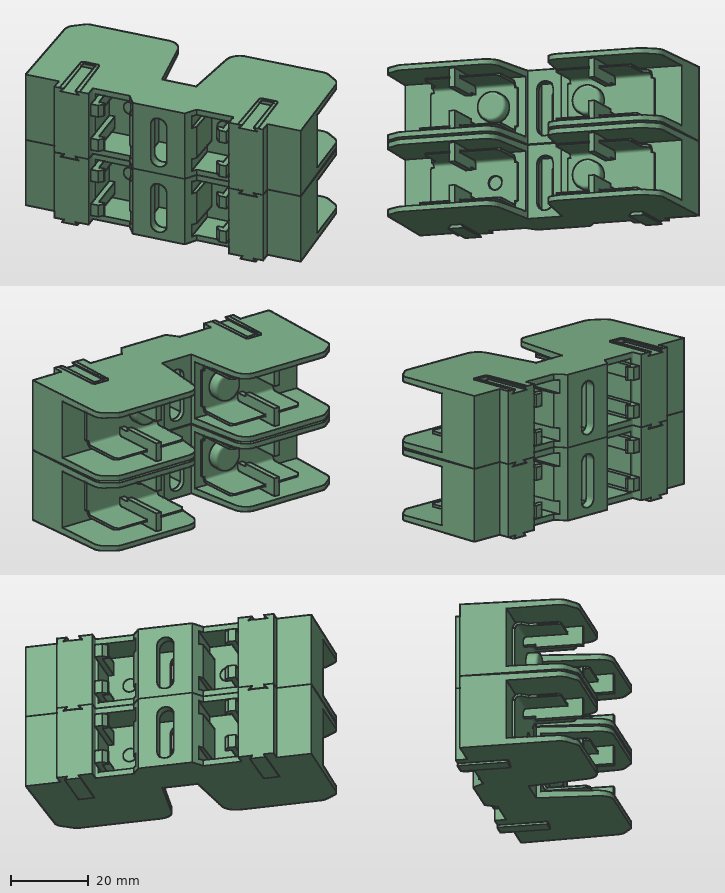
import cadquery as cq
import math


half_length = 38.3
depth = 33.3
pitch = 19.6
mid_height = pitch / 2
block_count = 2
draft = math.radians(0.5)

body_front = 3.1
foot_outer = 29.0
foot_root_radius = 0.15
foot_inner = 19.5
center_half_width = 7.2
center_root_half_width = 9.35
wing_back_half_length = 37.7
wing_corner_y = 30.0
wing_corner_x = 33.2
wing_corner_radius = 3.1
wing_inner_radius = 4.0
wing_inner_x = 7.2
notch_half_width = 4.75
notch_floor = 14.1

bay_floor = 15.2
bay_flat_end = 18.4
bay_wall = 1.9
bay_wall_back = 1.7

pocket_wall = 1.6
pocket_half_length = 18.8
pocket_ceiling = 12.6
pocket_inner_x = 8.4
front_lip = 2.7
side_wall_outer = 9.65
side_wall_height = 9.35
slot_width = 4.45
slot_length = 14.4
slot_z = 9.3
cavity_half_width = 5.05

hook_height = 3.45
hook_offset = 5.1
hook_stem = 1.5
barb_reach = 3.15
barb_back = 1.75
barb_tip = 1.15
barb_front = 2.0

dovetail_x = 24.8
tail_height = 0.85
tail_root = 0.8
tail_length = 13.2
tail_neck_half = 1.5
tail_end_half = 2.15
groove_depth = 1.0
groove_length = 13.7
groove_neck_half = 1.6
groove_end_half = 2.5
pad_length = 14.7
pad_front_half = 2.8
pad_back_half = 2.5
pad_corner = 0.45

fin_inner_x = 18.4
fin_thickness = 1.5
fin_back = 31.55
fin_notch = 6.2

clip_outer_x = 29.9
clip_inner_x = 7.65
clip_end_y = 27.5
clip_sheet = 0.7
clip_half_height = 6.8
clip_bend = 1.5
clip_corner = 0.9
tongue_half_height = 5.1
tongue_overhang = 0.8
tongue_corner = 0.45
blade_inset = 1.5
shoulder_start = 17.45
shoulder_end = 19.1
blade_start = 21.4
blade_bevel = 0.15
tip_bevel_length = 0.85
tip_bevel_depth = 0.15

screw_x = 13.0
shank_radius = 1.8
head_radius = 3.9
head_height = 3.15
head_round = 0.8
screw_places = [(-1, 0), (-1, 1), (1, 1)]

base_top = bay_floor + clip_sheet


def box(x0, x1, y0, y1, z0, z1):
    """Axis-aligned block between two corners."""
    corner = cq.Vector(x0, y0, z0)
    return cq.Workplane(cq.Solid.makeBox(x1 - x0, y1 - y0, z1 - z0, corner))


def prism_z(points, z0, z1):
    """X-Y polygon extruded from z0 to z1."""
    return cq.Workplane("XY", origin=(0, 0, z0)).polyline(points).close().extrude(z1 - z0)


def prism_x(points, x0, x1):
    """Y-Z polygon extruded from x0 to x1."""
    return cq.Workplane("YZ", origin=(x0, 0, 0)).polyline(points).close().extrude(x1 - x0)


def prism_y(points, y0, y1):
    """X-Z polygon extruded from y0 to y1."""
    profile = cq.Workplane("XZ", origin=(0, y0, 0)).polyline(points).close()
    return profile.extrude(y0 - y1)


def both_sides(shape):
    """The shape together with its mirror image across the Y-Z plane."""
    return shape.union(shape.mirror("YZ"))


def cylinder_y(radius, x, z, y0, y1):
    """Cylinder along Y."""
    return cq.Workplane("XZ", origin=(x, y0, z)).circle(radius).extrude(y0 - y1)


def corner_edges(shape, x, y):
    """Vertical edges of the shape at (x, y)."""
    reach = 0.1
    return shape.edges(cq.selectors.BoxSelector(
        (x - reach, y - reach, -depth), (x + reach, y + reach, depth)))


def housing_body():
    """Solid outline with rounded wings and lightly tapered top and bottom."""
    half = [
        (0, 0), (center_half_width, 0), (center_root_half_width, body_front),
        (foot_inner, body_front), (foot_inner, 0), (foot_outer, 0), (foot_outer, body_front),
        (half_length, body_front), (wing_back_half_length, wing_corner_y), (wing_corner_x, depth),
        (wing_inner_x, depth), (notch_half_width, notch_floor), (0, notch_floor),
    ]
    body = prism_z(half, 0, pitch)
    for x, y, radius in [
        (wing_back_half_length, wing_corner_y, wing_corner_radius),
        (wing_corner_x, depth, wing_corner_radius),
        (wing_inner_x, depth, wing_inner_radius),
        (foot_inner, body_front, foot_root_radius),
    ]:
        body = corner_edges(body, x, y).fillet(radius)
    drop = depth * math.tan(draft)
    taper = prism_x(
        [(0, 0), (depth, drop), (depth, pitch - drop), (0, pitch)], -half_length, half_length)
    return both_sides(body).intersect(taper)


def terminal_bay():
    """Space between the two plates behind the bay floor."""
    profile = [
        (bay_floor, bay_wall), (bay_flat_end, bay_wall), (depth, bay_wall_back),
        (depth, pitch - bay_wall_back), (bay_flat_end, pitch - bay_wall),
        (bay_floor, pitch - bay_wall),
    ]
    return prism_x(profile, -half_length, half_length)


def barrier_fin():
    """Notched wall across the bay, cleared for the screw head and slotted for the clip."""
    outer_x = fin_inner_x + fin_thickness
    fin = box(fin_inner_x, outer_x, bay_floor, fin_back, pocket_wall, pitch - pocket_wall)
    notch = box(fin_inner_x, outer_x, bay_floor, fin_back,
                mid_height - fin_notch / 2, mid_height + fin_notch / 2)
    head_clearance = box(fin_inner_x, outer_x, bay_floor, base_top + head_height,
                         mid_height - head_radius, mid_height + head_radius)
    return both_sides(fin.cut(notch).cut(head_clearance).cut(clip_blank()))


def front_pocket():
    """Pockets on both sides of the center block, and the hollow behind its slotted face."""
    z0 = pocket_wall
    z1 = pitch - pocket_wall
    hollow = box(-cavity_half_width, cavity_half_width, front_lip, pocket_ceiling, z0, z1)
    opening = box(pocket_inner_x, pocket_half_length, 0, pocket_ceiling, z0, z1)
    slope = body_front / (center_root_half_width - center_half_width)
    wall_front = slope * (pocket_inner_x - center_half_width)
    side_wall = prism_z(
        [(pocket_inner_x, wall_front), (center_root_half_width, body_front),
         (side_wall_outer, pocket_ceiling), (pocket_inner_x, pocket_ceiling)],
        mid_height - side_wall_height / 2, mid_height + side_wall_height / 2)
    return both_sides(opening.cut(side_wall)).union(hollow)


def mounting_slot():
    """Upright slot through the center block."""
    profile = cq.Workplane("XZ", origin=(0, 0, slot_z)).slot2D(slot_length, slot_width, 90)
    return profile.extrude(-depth)


def latch_hooks():
    """Four barbed hooks standing along the pocket end walls."""
    x = pocket_half_length
    outline = [
        (x, 0), (x - barb_front, 0), (x - barb_reach, barb_tip), (x - barb_reach, barb_back),
        (x - hook_stem, barb_back), (x - hook_stem, pocket_ceiling), (x, pocket_ceiling),
    ]
    hooks = cq.Workplane()
    for sign in (-1, 1):
        middle = mid_height + sign * hook_offset
        hooks = hooks.add(prism_z(outline, middle - hook_height / 2, middle + hook_height / 2))
    return both_sides(hooks.combine())


def dovetail_pad():
    """Level pad around the groove, standing clear of the tapered top face."""
    flank = pad_back_half - pad_corner
    outline = [
        (dovetail_x - pad_front_half, 0), (dovetail_x + pad_front_half, 0),
        (dovetail_x + pad_back_half, pad_length - pad_corner), (dovetail_x + flank, pad_length),
        (dovetail_x - flank, pad_length), (dovetail_x - pad_back_half, pad_length - pad_corner),
    ]
    return both_sides(prism_z(outline, pitch - pocket_wall, pitch))


def dovetail(neck_half, end_half, height, length, neck_z):
    """Dovetail bar that widens downwards from neck_z; its neck runs up by tail_root."""
    profile = [
        (dovetail_x - neck_half, neck_z + tail_root), (dovetail_x + neck_half, neck_z + tail_root),
        (dovetail_x + neck_half, neck_z), (dovetail_x + end_half, neck_z - height),
        (dovetail_x - end_half, neck_z - height), (dovetail_x - neck_half, neck_z),
    ]
    return both_sides(prism_y(profile, 0, length))


def screw_hole(side):
    """Hole for one screw between the bay floor and the pocket."""
    return cylinder_y(shank_radius, side * screw_x, mid_height, pocket_ceiling, bay_floor)


def make_housing(level):
    """One housing of the stack."""
    housing = housing_body().cut(terminal_bay()).union(barrier_fin())
    housing = housing.cut(front_pocket()).union(latch_hooks()).cut(mounting_slot())
    groove = dovetail(
        groove_neck_half, groove_end_half, groove_depth, groove_length, pitch)
    tail = dovetail(tail_neck_half, tail_end_half, tail_height, tail_length, 0)
    housing = housing.union(dovetail_pad()).cut(groove).union(tail)
    for side, screw_level in screw_places:
        if screw_level == level:
            housing = housing.cut(screw_hole(side))
    return housing.translate((0, 0, level * pitch))


def clip_blank():
    """U-shaped sheet: a base on the bay floor and two square-ended arms pointing back."""
    low = mid_height - clip_half_height
    outer = box(clip_inner_x, clip_outer_x, bay_floor, clip_end_y, low, low + 2 * clip_half_height)
    outer = outer.edges("|X and <Y").fillet(clip_bend)
    inner = box(clip_inner_x, clip_outer_x, base_top, clip_end_y, low + clip_sheet,
                low + 2 * clip_half_height - clip_sheet)
    inner = inner.edges("|X and <Y").fillet(clip_bend - clip_sheet)
    return outer.cut(inner)


def blade_trim():
    """Material removed from the outer side of the upper arm to leave a narrower blade."""
    arm_top = mid_height + clip_half_height
    arm_bottom = arm_top - clip_sheet
    edge = clip_outer_x - blade_inset
    outline = [
        (clip_outer_x, shoulder_start), (edge, shoulder_end), (edge, clip_end_y - clip_corner),
        (edge - clip_corner, clip_end_y), (clip_outer_x, clip_end_y),
    ]
    trim = prism_z(outline, arm_bottom, arm_top)
    for face_z, inward in ((arm_top, -1), (arm_bottom, 1)):
        bevel = [(edge - blade_bevel, face_z), (edge, face_z), (edge, face_z + inward * blade_bevel)]
        trim = trim.union(prism_y(bevel, blade_start, clip_end_y - clip_corner))
    return trim


def tip_trim():
    """Wedges that thin both faces of the arm ends."""
    wedges = cq.Workplane()
    for sign in (-1, 1):
        outer_z = mid_height + sign * clip_half_height
        inner_z = outer_z - sign * clip_sheet
        for face_z, inward in ((outer_z, -sign), (inner_z, sign)):
            profile = [
                (clip_end_y - tip_bevel_length, face_z), (clip_end_y, face_z),
                (clip_end_y, face_z + inward * tip_bevel_depth),
            ]
            wedges = wedges.add(prism_x(profile, clip_inner_x, clip_outer_x))
    return wedges.combine()


def make_clip(side, level):
    """One terminal clip with its blade arm and screw tongue."""
    tongue = box(clip_inner_x - tongue_overhang, clip_outer_x + tongue_overhang, bay_floor, base_top,
                 mid_height - tongue_half_height, mid_height + tongue_half_height)
    tongue = tongue.edges("|Y").fillet(tongue_corner)
    channel = clip_blank().edges("|Z and >Y").chamfer(clip_corner)
    clip = channel.cut(blade_trim()).cut(tip_trim()).union(tongue)
    clip = clip.cut(cylinder_y(shank_radius, screw_x, mid_height, bay_floor, base_top))
    if side < 0:
        clip = clip.mirror("YZ")
    return clip.translate((0, 0, level * pitch))


def make_screw(side, level):
    """Round-headed screw that ends flush with the front pocket ceiling."""
    x = side * screw_x
    head = cylinder_y(head_radius, x, mid_height, base_top, base_top + head_height)
    head = head.faces(">Y").edges().fillet(head_round)
    screw = head.union(cylinder_y(shank_radius, x, mid_height, pocket_ceiling, base_top))
    return screw.translate((0, 0, level * pitch))


housings = [make_housing(level) for level in range(block_count)]
clips = [make_clip(side, level) for level in range(block_count) for side in (-1, 1)]
screws = [make_screw(side, level) for side, level in screw_places]

result = cq.Compound.makeCompound([body.solids().val() for body in housings + clips + screws])